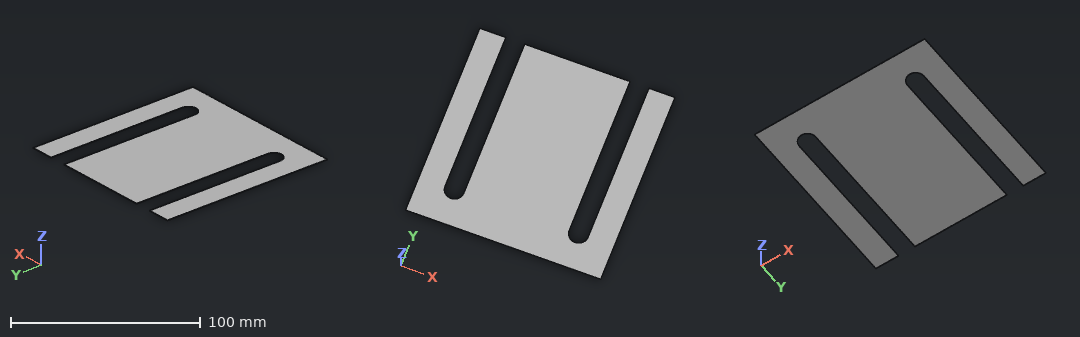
import cadquery as cq

plate_side = 110.0
plate_thickness = 0.5

slot_width = 10.6
slot_spacing = 70.0
slot_end_to_front = 20.0

front_y = -plate_side / 2
back_y = plate_side / 2
slot_end_y = front_y + slot_end_to_front


def make_plate():
    """Flat square plate, centred on the origin."""
    return cq.Workplane("XY").box(plate_side, plate_side, plate_thickness)


def make_slot(center_x):
    """Cutter for a slot with a round closed end, open at the back edge."""
    radius = slot_width / 2
    return (
        cq.Workplane("XY")
        .workplane(offset=-plate_thickness / 2)
        .moveTo(center_x - radius, back_y)
        .lineTo(center_x - radius, slot_end_y)
        .threePointArc((center_x, slot_end_y - radius), (center_x + radius, slot_end_y))
        .lineTo(center_x + radius, back_y)
        .close()
        .extrude(plate_thickness)
    )


result = make_plate()
for side in (-1, 1):
    result = result.cut(make_slot(side * slot_spacing / 2))